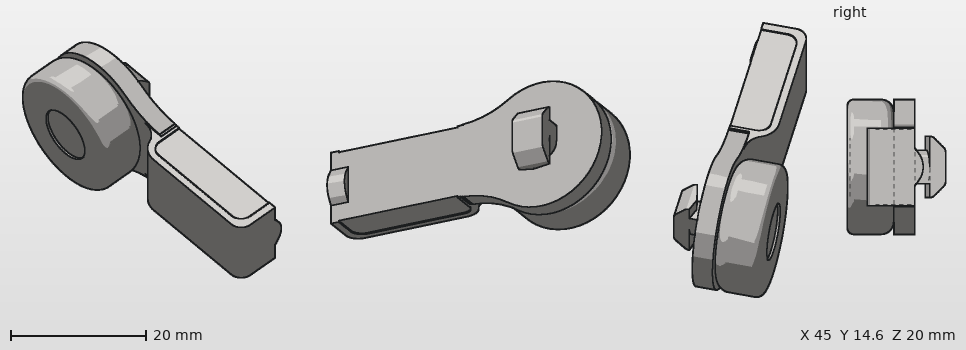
import cadquery as cq
import math


disc_radius = 10.0
plate_thickness = 3.1
neck_radius = 15.0
neck_center_x = 13.8
neck_end_x = 13.05
tail_end_x = 13.46
tail_half_width = 5.8

knob_front_y = -10.0
knob_back_fillet = 1.9
knob_front_fillet = 1.0
dimple_diameter = 8.5
dimple_depth = 0.4

arm_half_width = 5.75
arm_start_x = disc_radius
arm_end_x = 35.0
arm_depth = 7.0
arm_end_radius = 2.0
bend_length = 6.0
arm_front_wall = 1.2
arm_end_wall = 1.3
panel_start_x = 14.0
panel_corner_radius = 1.8
panel_recess = 0.2

catch_length = 2.9
catch_height = 1.25
catch_flank_height = 0.55
catch_flank_angle = math.radians(35.0)
catch_half_width = 2.85

stem_radius = 2.5
head_half_length = 4.55
head_top_y = 4.6
head_edge_y = 2.2
head_fillet = 1.0
ridge_y = 1.55
ridge_offset = 0.5


def cylinder_on_y(radius, y_from, y_to):
    """Cylinder about the Y axis between two Y positions."""
    return cq.Workplane("XZ", origin=(0, y_from, 0)).circle(radius).extrude(y_from - y_to)


def make_plate():
    """Disc with a neck whose concave flanks are tangent to the disc rim."""
    disc = cylinder_on_y(disc_radius, 0, -plate_thickness)

    center_distance = disc_radius + neck_radius
    tangent_scale = disc_radius / center_distance
    center_z = math.sqrt(center_distance**2 - neck_center_x**2)
    tangent_x = neck_center_x * tangent_scale
    tangent_z = center_z * tangent_scale
    neck_half_width = center_z - math.sqrt(neck_radius**2 - (neck_center_x - neck_end_x) ** 2)

    neck = (
        cq.Workplane("XZ")
        .moveTo(0, tangent_z)
        .lineTo(tangent_x, tangent_z)
        .radiusArc((neck_end_x, neck_half_width), -neck_radius)
        .lineTo(neck_end_x, -neck_half_width)
        .radiusArc((tangent_x, -tangent_z), -neck_radius)
        .lineTo(0, -tangent_z)
        .close()
        .extrude(plate_thickness)
    )
    tail = (
        cq.Workplane("XY")
        .box(tail_end_x, plate_thickness, 2 * tail_half_width, centered=(False, False, True))
        .translate((0, -plate_thickness, 0))
    )
    return disc.union(neck).union(tail)


def make_knob():
    """Round knob with both rims filleted and a shallow dimple in its front face."""
    knob = cylinder_on_y(disc_radius, -plate_thickness, knob_front_y)
    knob = knob.faces(">Y").edges().fillet(knob_back_fillet)
    knob = knob.faces("<Y").edges().fillet(knob_front_fillet)
    dimple = cylinder_on_y(dimple_diameter / 2, knob_front_y + dimple_depth, knob_front_y)
    return knob.cut(dimple)


def make_arm():
    """Arm that bends forward from the plate in an S-curve of two equal arcs."""
    bend_depth = arm_depth - plate_thickness
    bend_radius = (bend_length**2 + bend_depth**2) / (4 * bend_depth)
    bend_middle = (arm_start_x + bend_length / 2, -plate_thickness - bend_depth / 2)
    arm = (
        cq.Workplane("XY")
        .moveTo(arm_start_x, 0)
        .lineTo(arm_end_x, 0)
        .lineTo(arm_end_x, -arm_depth + arm_end_radius)
        .radiusArc((arm_end_x - arm_end_radius, -arm_depth), arm_end_radius)
        .lineTo(arm_start_x + bend_length, -arm_depth)
        .radiusArc(bend_middle, bend_radius)
        .radiusArc((arm_start_x, -plate_thickness), -bend_radius)
        .close()
        .extrude(arm_half_width, both=True)
    )
    for side_z in (arm_half_width - panel_recess, -arm_half_width):
        arm = arm.cut(make_panel_recess(side_z))
    return arm


def make_panel_recess(bottom_z):
    """Shallow panel-shaped cutter, open at the back and rounded at its front corners."""
    panel_length = arm_end_x - arm_end_wall - panel_start_x
    panel_depth = arm_depth - arm_front_wall
    return (
        cq.Workplane("XY")
        .box(panel_length, panel_depth, panel_recess, centered=False)
        .edges("|Z and <Y")
        .fillet(panel_corner_radius)
        .translate((panel_start_x, -panel_depth, bottom_z))
    )


def make_catch():
    """Low ridge along X with straight flanks and a rounded crown."""
    crown_half_width = catch_half_width - catch_flank_height / math.tan(catch_flank_angle)
    return (
        cq.Workplane("YZ", origin=(arm_end_x - catch_length, 0, 0))
        .moveTo(0, -catch_half_width)
        .lineTo(catch_flank_height, -crown_half_width)
        .threePointArc((catch_height, 0), (catch_flank_height, crown_half_width))
        .lineTo(0, catch_half_width)
        .close()
        .extrude(catch_length)
    )


def make_stem():
    """Round stem with two opposite quadrants squared off as turn stops."""
    stem = cylinder_on_y(stem_radius, head_edge_y, 0)
    for direction in (-1, 1):
        corner = (
            cq.Workplane("XY")
            .box(stem_radius, head_edge_y, stem_radius)
            .translate((direction * stem_radius / 2, head_edge_y / 2, -direction * stem_radius / 2))
        )
        stem = stem.union(corner)
    return stem


def make_head():
    """T-head with sloped, rounded ends and a detent ridge under each half."""
    tangent_length = head_fillet * math.tan(math.pi / 8)
    slope_rise = head_fillet * math.sin(math.pi / 4)
    slope_run = head_fillet - slope_rise
    slope_start_y = head_edge_y + slope_rise
    slope_half_length = head_half_length - slope_run
    tip_half_length = head_half_length - (head_top_y - head_edge_y - tangent_length)
    head = (
        cq.Workplane("YZ", origin=(-stem_radius, 0, 0))
        .moveTo(head_edge_y, -head_half_length)
        .radiusArc((slope_start_y, -slope_half_length), -head_fillet)
        .lineTo(head_top_y, -tip_half_length)
        .lineTo(head_top_y, tip_half_length)
        .lineTo(slope_start_y, slope_half_length)
        .radiusArc((head_edge_y, head_half_length), -head_fillet)
        .close()
        .extrude(2 * stem_radius)
    )
    head = head.faces(">Y").edges("|X").fillet(head_fillet)
    for direction in (-1, 1):
        ridge = (
            cq.Workplane("XY")
            .moveTo(-stem_radius, head_edge_y)
            .lineTo(-direction * ridge_offset, ridge_y)
            .lineTo(stem_radius, head_edge_y)
            .close()
            .extrude(direction * head_half_length)
        )
        head = head.union(ridge)
    return head


result = make_plate()
for piece in (make_knob(), make_arm(), make_catch(), make_stem(), make_head()):
    result = result.union(piece)